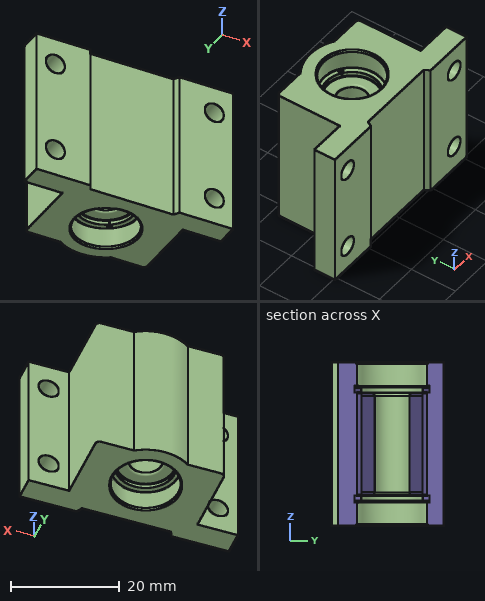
import cadquery as cq
import math


WIDTH = 41.25
LENGTH = 30.15
HEIGHT = 20.65
FLANGE_THICKNESS = 4.7
BLOCK_WIDTH = 25.3
BLOCK_HEIGHT = 19.03
BLOCK_CORNER_RADIUS = 0.83
SHAFT_HEIGHT = 11.1
CROWN_RADIUS = HEIGHT - SHAFT_HEIGHT

RELIEF_WIDTH = 18.7
RELIEF_DEPTH = 1.1
RELIEF_ANGLE = 30.0

HOLE_DIAMETER = 3.95
HOLE_SPACING_X = 33.35
HOLE_SPACING_Z = 19.03

BORE_RADIUS = 6.45
CHAMFER_WIDTH = 0.3
CHAMFER_DEPTH = 0.37

BUSHING_LENGTH = 18.75
SLEEVE_INNER_RADIUS = 5.6
SHAFT_RADIUS = 3.18
END_CAP_THICKNESS = 0.5
RETAINER_LENGTH = BUSHING_LENGTH - 2 * END_CAP_THICKNESS

RING_INNER_RADIUS = 5.65
RING_OUTER_RADIUS = 6.9
RING_THICKNESS = 0.85
RING_SPACING = 19.05
GROOVE_WIDTH = 1.2

SLIT_WIDTH = 0.12
SLIT_STEP_RADIUS = 6.2
SLIT_INNER_ANGLE = 55.0
SLIT_OUTER_ANGLE = 59.0


def tube(outer_radius, inner_radius, start_z, length):
    """Tube on the shaft axis, rising from start_z."""
    return (
        cq.Workplane("XY", origin=(0, SHAFT_HEIGHT, start_z))
        .circle(outer_radius)
        .circle(inner_radius)
        .extrude(length)
    )


def slab(width, height):
    """Full-length rectangular slab standing on the mounting face."""
    return cq.Workplane("XY").box(width, height, LENGTH, centered=(True, False, True))


def make_block():
    """Flanged block with rounded upper corners and a crown over the bore."""
    block = slab(BLOCK_WIDTH, BLOCK_HEIGHT).edges("|Z and >Y").fillet(BLOCK_CORNER_RADIUS)
    crown = (
        cq.Workplane("XY", origin=(0, SHAFT_HEIGHT, -LENGTH / 2))
        .circle(CROWN_RADIUS)
        .extrude(LENGTH)
    )
    return slab(WIDTH, FLANGE_THICKNESS).union(block).union(crown)


def make_relief():
    """Shallow channel with sloping sides along the mounting face."""
    half_mouth = RELIEF_WIDTH / 2
    half_floor = half_mouth - RELIEF_DEPTH * math.tan(math.radians(RELIEF_ANGLE))
    return (
        cq.Workplane("XY", origin=(0, 0, -LENGTH / 2))
        .polyline([
            (-half_mouth, 0),
            (-half_floor, RELIEF_DEPTH),
            (half_floor, RELIEF_DEPTH),
            (half_mouth, 0),
        ])
        .close()
        .extrude(LENGTH)
    )


def make_mounting_holes():
    """Four holes through the flanges."""
    return (
        cq.Workplane("XZ")
        .rarray(HOLE_SPACING_X, HOLE_SPACING_Z, 2, 2)
        .circle(HOLE_DIAMETER / 2)
        .extrude(-FLANGE_THICKNESS)
    )


def make_bore():
    """Through bore, widened by a chamfer at both mouths."""
    mouth_radius = BORE_RADIUS + CHAMFER_WIDTH
    half_length = LENGTH / 2
    half_straight = half_length - CHAMFER_DEPTH
    return (
        cq.Workplane("XZ")
        .polyline([
            (0, -half_length),
            (mouth_radius, -half_length),
            (BORE_RADIUS, -half_straight),
            (BORE_RADIUS, half_straight),
            (mouth_radius, half_length),
            (0, half_length),
        ])
        .close()
        .revolve(360, (0, 0), (0, 1))
        .translate((0, SHAFT_HEIGHT, 0))
    )


def make_ring_groove():
    """Groove in the bore for the ring at the +Z end of the bushing."""
    return tube(RING_OUTER_RADIUS, SLEEVE_INNER_RADIUS, RING_SPACING / 2, GROOVE_WIDTH)


def make_housing():
    groove = make_ring_groove()
    return (
        make_block()
        .cut(make_relief())
        .cut(make_mounting_holes())
        .cut(make_bore())
        .cut(groove)
        .cut(groove.mirror("XY"))
    )


def make_sleeve():
    """Outer sleeve of the bushing, a sliding fit in the bore."""
    return tube(BORE_RADIUS, SLEEVE_INNER_RADIUS, -BUSHING_LENGTH / 2, BUSHING_LENGTH)


def make_retainer():
    """Inner tube of the bushing, between the end caps."""
    return tube(SLEEVE_INNER_RADIUS, SHAFT_RADIUS, -RETAINER_LENGTH / 2, RETAINER_LENGTH)


def make_end_cap():
    """Cap at the +Z end of the bushing, with a lip rounded out to its full thickness."""
    inner_z = RETAINER_LENGTH / 2
    outer_z = BUSHING_LENGTH / 2
    lip_radius = SHAFT_RADIUS + END_CAP_THICKNESS
    lip_middle = END_CAP_THICKNESS * math.sqrt(0.5)
    return (
        cq.Workplane("XZ")
        .moveTo(SHAFT_RADIUS, inner_z)
        .lineTo(SLEEVE_INNER_RADIUS, inner_z)
        .lineTo(SLEEVE_INNER_RADIUS, outer_z)
        .lineTo(lip_radius, outer_z)
        .threePointArc((lip_radius - lip_middle, inner_z + lip_middle), (SHAFT_RADIUS, inner_z))
        .close()
        .revolve(360, (0, 0), (0, 1))
        .translate((0, SHAFT_HEIGHT, 0))
    )


def radial_cut(inner_radius, outer_radius, angle):
    """Thin cut through a ring, running straight out from the shaft axis."""
    return (
        cq.Workplane("XY")
        .center((inner_radius + outer_radius) / 2, 0)
        .rect(outer_radius - inner_radius, SLIT_WIDTH)
        .extrude(RING_THICKNESS)
        .rotate((0, 0, 0), (0, 0, 1), angle)
    )


def arc_cut():
    """Thin cut along the step radius, between the two radial cuts of a slit."""
    return (
        cq.Workplane("XZ", origin=(SLIT_STEP_RADIUS, 0, RING_THICKNESS / 2))
        .rect(SLIT_WIDTH, RING_THICKNESS)
        .revolve(SLIT_OUTER_ANGLE - SLIT_INNER_ANGLE, (-SLIT_STEP_RADIUS, 0), (-SLIT_STEP_RADIUS, -1))
        .rotate((0, 0, 0), (0, 0, 1), SLIT_INNER_ANGLE)
    )


def make_retaining_ring():
    """Ring in its groove just beyond the +Z end of the bushing, split by a stepped slit."""
    base_z = RING_SPACING / 2
    ring = tube(RING_OUTER_RADIUS, RING_INNER_RADIUS, base_z, RING_THICKNESS)
    inner_cut_end = SLIT_STEP_RADIUS + SLIT_WIDTH / 2
    outer_cut_start = SLIT_STEP_RADIUS - SLIT_WIDTH / 2
    cuts = [
        radial_cut(0, inner_cut_end, SLIT_INNER_ANGLE),
        arc_cut(),
        radial_cut(outer_cut_start, RING_OUTER_RADIUS + SLIT_WIDTH, SLIT_OUTER_ANGLE),
    ]
    for cut in cuts:
        ring = ring.cut(cut.translate((0, SHAFT_HEIGHT, base_z)))
    return ring


def at_both_ends(body):
    """The body at the +Z end and its mirror image at the -Z end."""
    return [body.val(), body.mirror("XY").val()]


housing = make_housing()
sleeve = make_sleeve()
retainer = make_retainer()
end_caps = at_both_ends(make_end_cap())
retaining_rings = at_both_ends(make_retaining_ring())

result = cq.Compound.makeCompound([
    housing.val(),
    sleeve.val(),
    retainer.val(),
    *end_caps,
    *retaining_rings,
])